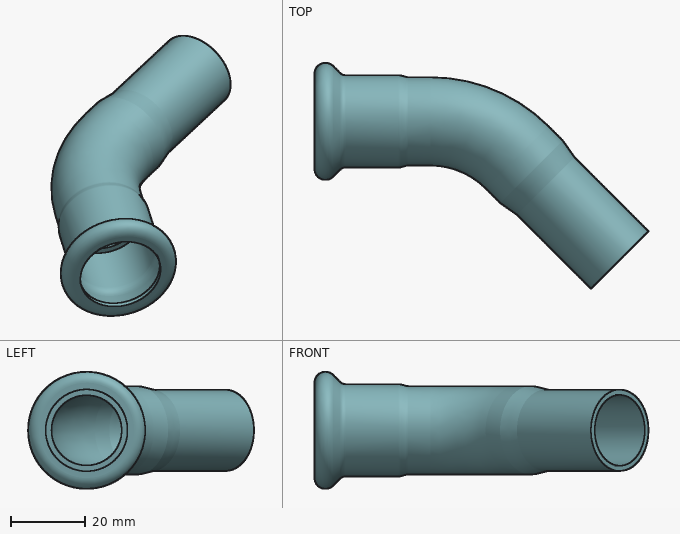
import cadquery as cq
import math

wall = 1.4
socket_radius = 25.0 / 2
bend_radius = 23.9 / 2
spigot_radius = 22.0 / 2
stop_bore_radius = 19 / 2

bead_radius = 31.7 / 2
bead_round = 3.0
bead_angle = math.radians(45)
bead_blend = 2.0

step_start = 22.75
step_angle = math.radians(15)
step_round = 2.2
stop_length = 1.8

bend_start = 31.3
bend_angle = 45
centreline_radius = 33.05
collar_length = 5.5
taper_length = 5.5
spigot_length = 28.3

bead_round_radius = bead_radius - bead_round
blend_centre_radius = socket_radius + bead_blend
bead_end = bead_round + (
    (bead_round + bead_blend) - (blend_centre_radius - bead_round_radius) * math.cos(bead_angle)
) / math.sin(bead_angle)
step_drop = socket_radius - bend_radius
step_arc_drop = step_round * (1 - math.cos(step_angle))
step_arc_length = step_round * math.sin(step_angle)
step_cone_length = (step_drop - 2 * step_arc_drop) / math.tan(step_angle)
step_cone_start = step_start + step_arc_length
step_cone_end = step_cone_start + step_cone_length
step_end = step_cone_end + step_arc_length
stop_end = step_end
stop_start = stop_end - stop_length


def arc_point(centre, radius, angle):
    """Point on an arc, with the angle measured from radially outward toward +X."""
    return (centre[0] + radius * math.sin(angle), centre[1] + radius * math.cos(angle))


def add_bead(profile, offset):
    """Continue a profile over the bead and its blend, set inward by offset."""
    round_centre = (bead_round, bead_round_radius)
    blend_centre = (bead_end, blend_centre_radius)
    outer = bead_round - offset
    blend = -(bead_blend + offset)
    return (
        profile.threePointArc(
            arc_point(round_centre, outer, 0),
            arc_point(round_centre, outer, bead_angle),
        )
        .lineTo(*arc_point(blend_centre, blend, bead_angle))
        .threePointArc(
            arc_point(blend_centre, blend, bead_angle / 2),
            arc_point(blend_centre, blend, 0),
        )
    )


def revolve_about_x(profile):
    return profile.close().revolve(360, (0, 0, 0), (1, 0, 0))


def socket_outside():
    first_centre = (step_start, socket_radius - step_round)
    second_centre = (step_end, bend_radius + step_round)
    profile = cq.Workplane("XY").lineTo(0, bead_round_radius)
    profile = (
        add_bead(profile, 0)
        .lineTo(step_start, socket_radius)
        .threePointArc(
            arc_point(first_centre, step_round, step_angle / 2),
            arc_point(first_centre, step_round, step_angle),
        )
        .lineTo(*arc_point(second_centre, -step_round, step_angle))
        .threePointArc(
            arc_point(second_centre, -step_round, step_angle / 2),
            (step_end, bend_radius),
        )
        .lineTo(bend_start, bend_radius)
        .lineTo(bend_start, 0)
    )
    return revolve_about_x(profile)


def socket_inside():
    mouth_radius = socket_radius - wall
    bend_bore_radius = bend_radius - wall
    profile = (
        cq.Workplane("XY")
        .lineTo(0, mouth_radius)
        .lineTo(wall, mouth_radius)
        .lineTo(wall, bead_round_radius)
    )
    profile = (
        add_bead(profile, wall)
        .lineTo(stop_start, mouth_radius)
        .lineTo(stop_start, stop_bore_radius)
        .lineTo(stop_end, stop_bore_radius)
        .lineTo(stop_end, bend_bore_radius)
        .lineTo(bend_start, bend_bore_radius)
        .lineTo(bend_start, 0)
    )
    return revolve_about_x(profile)


def bend():
    """Hollow bend turning from +X toward -Y."""
    return (
        cq.Workplane("YZ", origin=(bend_start, 0, 0))
        .circle(bend_radius)
        .circle(bend_radius - wall)
        .revolve(bend_angle, (-centreline_radius, 0, 0), (-centreline_radius, -1, 0))
    )


def leg_body(inset):
    """Solid collar, taper and spigot along X, set inward by inset."""
    taper_end = collar_length + taper_length
    leg_end = taper_end + spigot_length
    profile = (
        cq.Workplane("XY")
        .lineTo(0, bend_radius - inset)
        .lineTo(collar_length, bend_radius - inset)
        .lineTo(taper_end, spigot_radius - inset)
        .lineTo(leg_end, spigot_radius - inset)
        .lineTo(leg_end, 0)
    )
    return revolve_about_x(profile)


def spigot_leg():
    """Hollow leg swung about the bend centre to meet the end of the bend."""
    return (
        leg_body(0)
        .cut(leg_body(wall))
        .translate((bend_start, 0, 0))
        .rotate((bend_start, -centreline_radius, 0), (bend_start, -centreline_radius, 1), -bend_angle)
    )


socket = socket_outside().cut(socket_inside())
result = socket.union(bend()).union(spigot_leg())